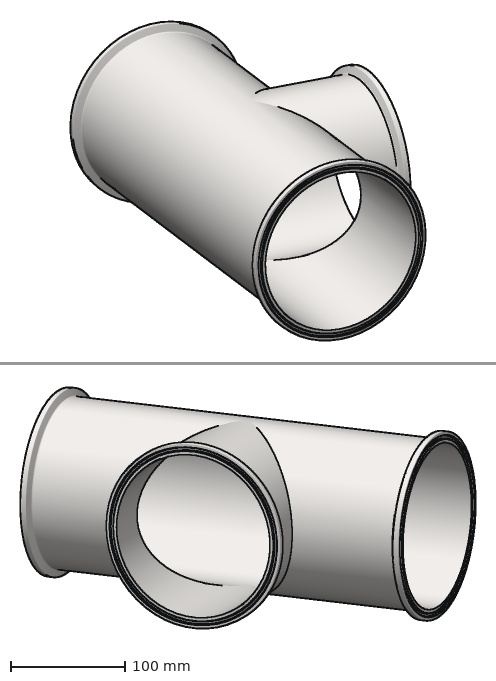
import cadquery as cq
import math

tube_diameter = 152.4
bore_diameter = 146.86
run_length = 361.95
branch_reach = 117.47

flange_diameter = 166.88
rim_thickness = 5.6
back_slope = 20.0
front_edge_radius = 0.5
back_edge_radius = 0.8
neck_radius = 1.2

groove_diameter = 156.8
groove_mouth_width = 3.8
groove_floor_width = 2.0
groove_depth = 1.4

tube_radius = tube_diameter / 2
bore_radius = bore_diameter / 2
flange_radius = flange_diameter / 2
groove_radius = groove_diameter / 2
half_run = run_length / 2

ORIGIN = (0, 0, 0)
X_DIRECTION = (1, 0, 0)
Y_DIRECTION = (0, 1, 0)
Z_DIRECTION = (0, 0, 1)
PROFILE_AXIS = (0, 1, 0)


def solid_arm(length):
    """Unbored tube on the Z axis from Z = 0 to a flanged, grooved face at Z = length."""
    slope_depth = (flange_radius - tube_radius) * math.tan(math.radians(back_slope))
    rim_back = length - rim_thickness
    neck = rim_back - slope_depth
    arm = (
        cq.Workplane("XZ")
        .moveTo(0, 0)
        .lineTo(tube_radius, 0)
        .lineTo(tube_radius, neck)
        .lineTo(flange_radius, rim_back)
        .lineTo(flange_radius, length)
        .lineTo(0, length)
        .close()
        .revolve(360, ORIGIN, PROFILE_AXIS)
    )
    tube_circles = cq.selectors.RadiusNthSelector(0)
    rim_circles = cq.selectors.RadiusNthSelector(-1)
    arm = arm.edges(tube_circles).edges(">Z").fillet(neck_radius)
    arm = arm.edges(rim_circles).edges("<Z").fillet(back_edge_radius)
    arm = arm.edges(rim_circles).edges(">Z").fillet(front_edge_radius)
    return arm.cut(gasket_groove(length))


def gasket_groove(face_height):
    """Ring that cuts the gasket groove into a face at Z = face_height."""
    half_mouth = groove_mouth_width / 2
    half_floor = groove_floor_width / 2
    floor_height = face_height - groove_depth
    return (
        cq.Workplane("XZ")
        .moveTo(groove_radius - half_mouth, face_height)
        .lineTo(groove_radius - half_floor, floor_height)
        .lineTo(groove_radius + half_floor, floor_height)
        .lineTo(groove_radius + half_mouth, face_height)
        .close()
        .revolve(360, ORIGIN, PROFILE_AXIS)
    )


def bore_arm(length):
    """Straight core of one arm, on the Z axis."""
    return cq.Workplane("XY").circle(bore_radius).extrude(length)


def tee(make_arm):
    """Join two run arms and one branch arm, each built on the Z axis."""
    half = make_arm(half_run).rotate(ORIGIN, Y_DIRECTION, 90)
    run = half.union(half.rotate(ORIGIN, Z_DIRECTION, 180))
    branch = make_arm(branch_reach).rotate(ORIGIN, X_DIRECTION, -90)
    return run.union(branch).clean()


result = tee(solid_arm).cut(tee(bore_arm))